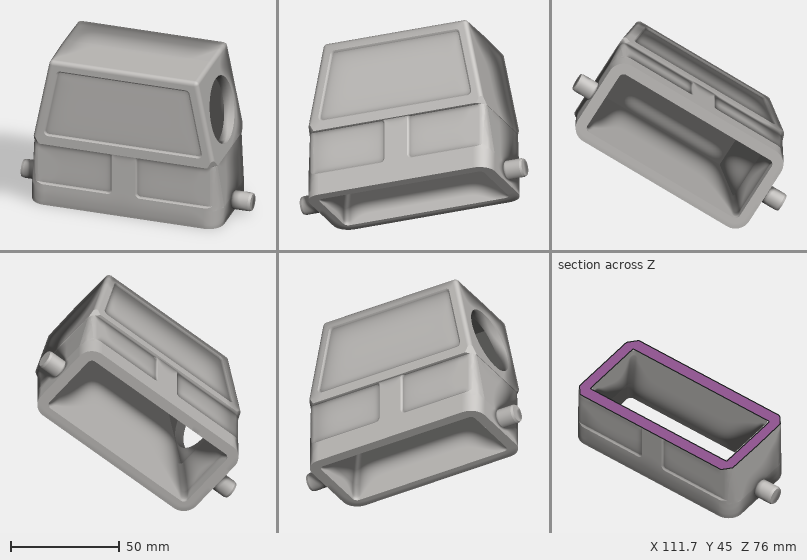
import cadquery as cq
import math

tolerance = 0.01
overrun = 5.6

base_length = 93.2
base_width = 42.9
base_corner_radius = 7.5
band_height = 9.0

neck_top_length = 88.9
neck_top_corner_radius = 3.8
hood_bottom = 32.1

hood_top = 76.0
hood_width = 45.0
hood_bottom_length = 89.6
hood_top_length = 72.4
hood_draft = 0.7
hood_edge_radius = 2.0

relief_x = 3.8
relief_y = 4.5
relief_lean = 22

wall = 5.1

entry_diameter = 32.0
entry_height = 51.8

pin_span = 111.7
pin_diameter = 8.8
pin_tip_diameter = 8.0
pin_tip_length = 1.1
pin_groove_length = 0.6
pin_height = 6.0

panel_depth = 0.8
panel_border = 0.9
panel_corner_radius = 2.2
label_bottom = 36.6
label_top = 71.2
label_margin = 4.9
grip_bottom = 10.6
grip_gap = 11.4
grip_edge_radius = 2.7

end_slope = (hood_bottom_length - hood_top_length) / 2 / (hood_top - hood_bottom)
end_tilt = math.atan(end_slope)


def hood_half_length(z):
    """Half length of the hood in the middle plane at height z."""
    return hood_top_length / 2 + (hood_top - z) * end_slope


def rounded_rectangle(length, width, radius):
    return cq.Sketch().rect(length, width).vertices().fillet(radius)


def make_lower_body(inset):
    """Band and neck, shrunk by inset on the sides and corners."""
    length, width = base_length - 2 * inset, base_width - 2 * inset
    lower = rounded_rectangle(length, width, base_corner_radius - inset)
    upper_radius = max(neck_top_corner_radius - inset, hood_edge_radius)
    upper = rounded_rectangle(neck_top_length - 2 * inset, width, upper_radius)
    band = cq.Workplane("XY").placeSketch(lower).extrude(band_height)
    neck = cq.Workplane("XY").placeSketch(
        lower.moved(cq.Location(cq.Vector(0, 0, band_height))),
        upper.moved(cq.Location(cq.Vector(0, 0, hood_bottom))),
    ).loft()
    return band.union(neck)


def trapezoid(bottom, top, left_inset, right_inset):
    """Outline that follows the sloped hood ends, moved inward by the insets."""
    return [
        (-hood_half_length(bottom) + left_inset, bottom),
        (hood_half_length(bottom) - right_inset, bottom),
        (hood_half_length(top) - right_inset, top),
        (-hood_half_length(top) + left_inset, top),
    ]


def extrude_half(outline, depth, taper=0):
    """Extrude an XZ outline from the middle plane toward -Y."""
    return cq.Workplane("XZ").polyline(outline).close().extrude(depth, taper=taper)


def make_corner_relief():
    """Cutter for the lower corner of the hood on the -X, -Y side."""
    corner_x = -hood_bottom_length / 2
    corner_y = -hood_width / 2
    reach = 3
    triangle = [
        (corner_x - reach * relief_x, corner_y - reach * relief_y),
        (corner_x + (1 + reach) * relief_x, corner_y - reach * relief_y),
        (corner_x - reach * relief_x, corner_y + (1 + reach) * relief_y),
    ]
    height = 2 * relief_y
    return (
        cq.Workplane("XY")
        .workplane(offset=hood_bottom)
        .polyline(triangle)
        .close()
        .extrude(height, taper=relief_lean)
    )


def make_hood():
    skirt = hood_bottom - overrun
    drafted = extrude_half(trapezoid(skirt, hood_top, 0, -overrun), hood_width / 2, hood_draft)
    flat_end = extrude_half(trapezoid(skirt, hood_top, 0, 0), hood_width / 2)
    half = drafted.intersect(flat_end)
    below = cq.Workplane("XY").box(pin_span, pin_span, hood_bottom, centered=(True, True, False))
    half = half.cut(below)

    def is_outer_edge(edge):
        box = edge.BoundingBox()
        on_middle_plane = box.ymin > -tolerance
        on_underside = box.zmax < hood_bottom + tolerance
        return not on_middle_plane and not on_underside

    rounded_edges = [edge for edge in half.edges().vals() if is_outer_edge(edge)]
    half = half.newObject(rounded_edges).fillet(hood_edge_radius)
    relief = make_corner_relief()
    half = half.cut(relief).cut(relief.mirror("YZ"))
    return half.union(half.mirror("XZ"))


def make_hood_cavity():
    slant_wall = wall / math.cos(end_tilt)
    outline = trapezoid(hood_bottom, hood_top - wall, slant_wall, slant_wall)
    half = extrude_half(outline, base_width / 2 - wall)
    return half.union(half.mirror("XZ"))


def make_cable_entry():
    direction = cq.Vector(math.cos(end_tilt), 0, math.sin(end_tilt))
    center = cq.Vector(hood_half_length(entry_height), 0, entry_height)
    start = center - direction * (wall + overrun)
    depth = wall + 2 * overrun
    return cq.Workplane(cq.Solid.makeCylinder(entry_diameter / 2, depth, start, direction))


def make_pin(side):
    root = base_length / 2 - wall / 2
    groove_end = base_length / 2 + pin_groove_length
    radius = pin_diameter / 2
    neck_radius = pin_tip_diameter / 2
    profile = [
        (root, 0),
        (root, neck_radius),
        (groove_end, neck_radius),
        (groove_end, radius),
        (pin_span / 2 - pin_tip_length, radius),
        (pin_span / 2, neck_radius),
        (pin_span / 2, 0),
    ]
    pin = cq.Workplane("XY").polyline(profile).close().revolve(360, (0, 0), (1, 0))
    if side < 0:
        pin = pin.mirror("YZ")
    return pin.translate((0, 0, pin_height))


def make_panel(outline, surface_y):
    """Recess at the -Y side whose border slopes down to a flat floor."""
    taper = math.degrees(math.atan(panel_border / panel_depth))
    face = cq.Sketch().polygon(outline + outline[:1]).vertices().fillet(panel_corner_radius)
    return (
        cq.Workplane("XZ", origin=(0, -surface_y, 0))
        .placeSketch(face)
        .extrude(-panel_depth, taper=taper)
    )


def round_grip_ends(body):
    """Round the upright edges where the grip floors run out through the corners."""
    floor_y = base_width / 2 - panel_depth

    def is_floor_end(edge):
        box = edge.BoundingBox()
        on_floor = box.ylen < tolerance and abs(abs(box.center.y) - floor_y) < tolerance
        at_end = abs(box.center.x) > base_length / 2 - base_corner_radius
        upright = box.zlen > box.xlen
        return on_floor and at_end and upright

    ends = [edge for edge in body.edges().vals() if is_floor_end(edge)]
    return body.newObject(ends).fillet(grip_edge_radius)


label_outline = trapezoid(label_bottom, label_top, label_margin, label_margin)
label_panel = make_panel(label_outline, hood_width / 2)
grip_outline = [
    (grip_gap / 2, grip_bottom),
    (base_length / 2 + overrun, grip_bottom),
    (base_length / 2 + overrun, hood_bottom + panel_border),
    (grip_gap / 2, hood_bottom + panel_border),
]
grip_panel = make_panel(grip_outline, base_width / 2)

lower_body = make_lower_body(0)
for panel in (grip_panel, grip_panel.mirror("YZ")):
    lower_body = lower_body.cut(panel).cut(panel.mirror("XZ"))
lower_body = round_grip_ends(lower_body)

hood = make_hood().cut(label_panel).cut(label_panel.mirror("XZ"))

result = lower_body.union(hood)
result = result.cut(make_lower_body(wall)).cut(make_hood_cavity()).cut(make_cable_entry())
for side in (-1, 1):
    result = result.union(make_pin(side))